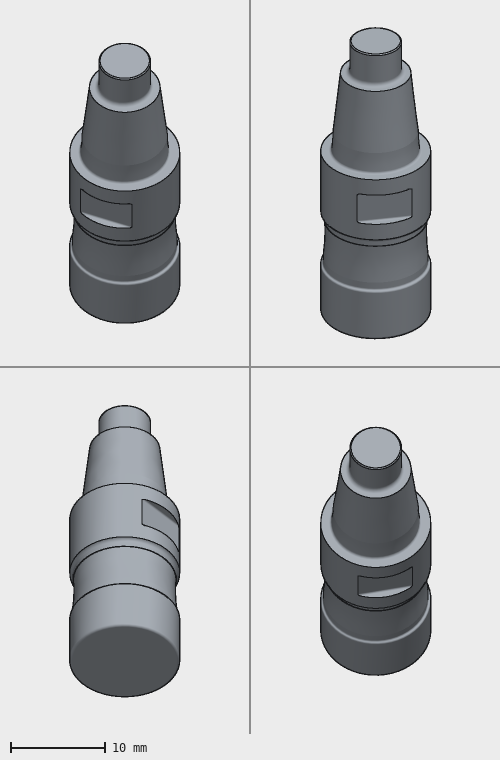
import cadquery as cq
import math

total_height = 33.8
boot_top_height = 29.8
cone_base_height = 22.55
collar_top_height = 20.05
collar_bottom_height = 12.5
split_height = 11.5
waist_bottom_height = 6.95
band_bottom_height = 6.22
shoulder_height = 5.8

tip_radius = 5.5 / 2
boot_top_radius = 3.75
cone_base_radius = 4.53
root_radius = 4.65
sleeve_radius = 11.73 / 2
collar_radius = 11.7 / 2
neck_radius = 11.0 / 2
waist_end_radius = 10.9 / 2
waist_radius = 10.8 / 2
band_radius = 5.58

tip_chamfer = 0.15
neck_fillet = 0.5
root_fillet = 0.3
root_bulge = 0.05
bottom_fillet = 0.3

flat_distance = 5.05
flat_bottom_height = 14.45
flat_top_height = 18.1
flat_corner_fillet = 0.2


def cut_wrench_flats(body):
    """Cut two opposite flats, with filleted inner corners, into the collar."""
    flat_height = flat_top_height - flat_bottom_height
    for side in (-1, 1):
        cutter = (
            cq.Workplane("XY", origin=(0, side * (flat_distance + collar_radius / 2), flat_bottom_height))
            .box(2 * collar_radius, collar_radius, flat_height, centered=(True, True, False))
            .faces("<Y" if side > 0 else ">Y")
            .edges("|X")
            .fillet(flat_corner_fillet)
        )
        body = body.cut(cutter)
    return body


def make_housing():
    """Upper body: tip, tapered boot, collar with flats, and neck."""
    neck_arc_x = neck_radius + neck_fillet
    neck_rise = math.sqrt(neck_fillet**2 - (neck_arc_x - collar_radius) ** 2)
    root_top_height = collar_top_height + root_fillet
    neck_arc_z = collar_bottom_height - neck_rise
    housing = (
        cq.Workplane("XZ")
        .moveTo(0, split_height)
        .lineTo(neck_radius, split_height)
        .lineTo(neck_radius, neck_arc_z)
        .radiusArc((collar_radius, collar_bottom_height), neck_fillet)
        .lineTo(collar_radius, collar_top_height)
        .lineTo(root_radius + root_fillet, collar_top_height)
        .radiusArc((root_radius, root_top_height), root_fillet)
        .threePointArc(
            ((root_radius + cone_base_radius) / 2 - root_bulge, (root_top_height + cone_base_height) / 2),
            (cone_base_radius, cone_base_height),
        )
        .lineTo(boot_top_radius, boot_top_height)
        .lineTo(tip_radius + neck_fillet, boot_top_height)
        .radiusArc((tip_radius, boot_top_height + neck_fillet), neck_fillet)
        .lineTo(tip_radius, total_height - tip_chamfer)
        .lineTo(tip_radius - tip_chamfer, total_height)
        .lineTo(0, total_height)
        .close()
        .revolve(360, (0, 0), (0, 1))
    )
    return cut_wrench_flats(housing)


def make_sleeve():
    """Lower body: waisted grip above a rounded end."""
    step = sleeve_radius - band_radius
    rise = band_bottom_height - shoulder_height
    shoulder_arc = (step**2 + rise**2) / (4 * step)
    shoulder_middle = (band_radius + step / 2, shoulder_height + rise / 2)
    return (
        cq.Workplane("XZ")
        .lineTo(sleeve_radius, 0)
        .lineTo(sleeve_radius, shoulder_height)
        .radiusArc(shoulder_middle, -shoulder_arc)
        .radiusArc((band_radius, band_bottom_height), shoulder_arc)
        .lineTo(band_radius, waist_bottom_height)
        .threePointArc(
            (waist_radius, (waist_bottom_height + split_height) / 2),
            (waist_end_radius, split_height),
        )
        .lineTo(0, split_height)
        .close()
        .revolve(360, (0, 0), (0, 1))
        .faces("<Z")
        .edges()
        .fillet(bottom_fillet)
    )


housing = make_housing()
sleeve = make_sleeve()
result = cq.Compound.makeCompound([housing.val(), sleeve.val()])